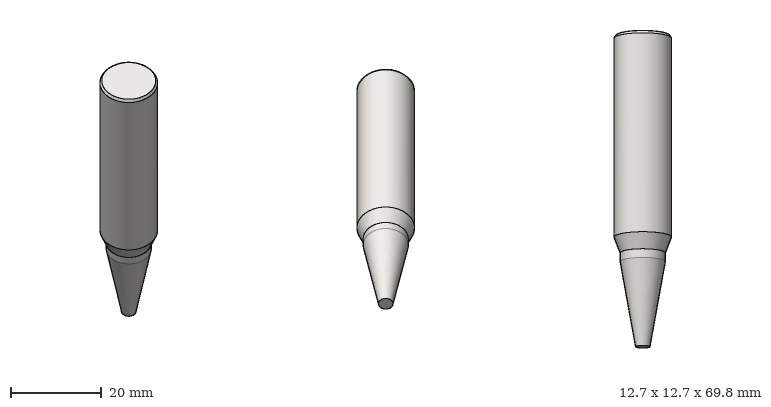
import cadquery as cq

total_height = 69.8
taper_height = 19.05
neck_height = 1.95
shoulder_height = 3.55

shank_diameter = 12.7
neck_diameter = 10.0
tip_end_diameter = 3.2

chamfer_height = 0.6
chamfer_width = 0.4

joint_z = taper_height + neck_height
shoulder_top_z = joint_z + shoulder_height
shank_radius = shank_diameter / 2
neck_radius = neck_diameter / 2
tip_end_radius = tip_end_diameter / 2


def revolve_profile(points):
    """Turn a closed (radius, z) outline around the Z axis."""
    return cq.Workplane("XZ").polyline(points).close().revolve(360, (0, 0), (0, 1))


def make_shank():
    """Cylindrical shank with a chamfered top and a conical shoulder at its lower end."""
    return revolve_profile([
        (0, joint_z),
        (neck_radius, joint_z),
        (shank_radius, shoulder_top_z),
        (shank_radius, total_height - chamfer_height),
        (shank_radius - chamfer_width, total_height),
        (0, total_height),
    ])


def make_tip():
    """Tapered tip with a short cylindrical neck that meets the shank at a flat joint."""
    return revolve_profile([
        (0, 0),
        (tip_end_radius, 0),
        (neck_radius, taper_height),
        (neck_radius, joint_z),
        (0, joint_z),
    ])


shank = make_shank()
tip = make_tip()

result = cq.Compound.makeCompound([shank.val(), tip.val()])